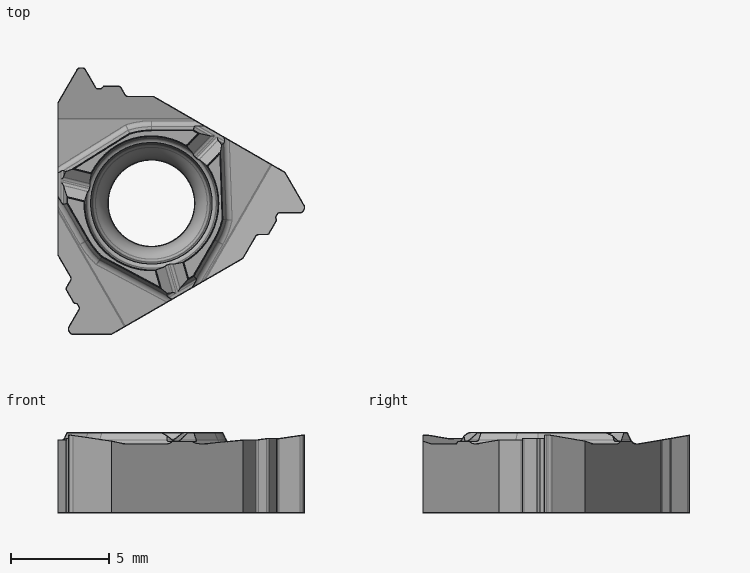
import cadquery as cq
import math

CORNERS = 3
CORNER_STEP = 360 / CORNERS
FAR = 10.85

total_height = 4.1
floor_height = 3.51
land_height = 3.63

face_distance = 4.76
flank_distance = 6.67
tip_reach = 6.89
flank_angle = 60.0
tip_radius = 0.2
tip_flat = 0.08
root_y = 5.83
root_start_x = -2.55
root_radius = 0.08
crest_y = 5.95
crest_end_x = -1.59
crest_radius = 0.16
shoulder_y = 5.44

rake_start = 4.3
rake_angle = 9.7
rake_blend_radius = 0.27

straight_wall = (90.0, 3.72, floor_height, 0.33)
skew_wall = (122.0, 3.6, floor_height, 0.33)
short_wall = (180.0, 4.28, land_height, 0.14)
wall_draft = 25.0
top_chamfer = 0.03
round_end_angle = 109.3

hole_radius = 4.4 / 2
seat_curve_start = 0.75
seat_curve_radius = 2.36
seat_curve_angle = 43.6
seat_corner_radius = 0.46
seat_wall_foot = (3.0, 2.68)
ledge_inner = (3.09, 3.57)
ledge_outer = (3.31, 3.75)
ledge_radius = 0.26
rim_radius = 3.4

groove_direction = 166.0
groove_top_width = 1.46
groove_bottom_width = 0.27
groove_bottom_radius = 0.26


def rotated(point, angle):
    c = math.cos(math.radians(angle))
    s = math.sin(math.radians(angle))
    return (point[0] * c - point[1] * s, point[0] * s + point[1] * c)


def around(solid):
    """The solid repeated at every corner of the insert."""
    copies = [solid.rotate((0, 0, 0), (0, 0, 1), k * CORNER_STEP) for k in range(CORNERS)]
    return copies[0].union(copies[1]).union(copies[2])


def outline_prism(bottom, top):
    """Full side outline between two heights, with the tooth corners rounded."""
    rise = math.tan(math.radians(flank_angle))
    normal_x = math.sin(math.radians(flank_angle))
    normal_y = math.cos(math.radians(flank_angle))
    flank_foot = (-face_distance, (flank_distance - face_distance * normal_x) / normal_y)
    tip_start = (flank_foot[0] + (tip_reach - flank_foot[1]) / rise, tip_reach)
    rounding = tip_radius * math.tan(math.radians(flank_angle / 2))
    tip_end = (tip_start[0] + tip_flat + 2 * rounding, tip_reach)
    crest_start_x = root_start_x + crest_y - root_y
    corner = [
        (flank_foot, 0),
        (tip_start, tip_radius),
        (tip_end, tip_radius),
        ((tip_end[0] + (tip_reach - root_y) / rise, root_y), root_radius),
        ((root_start_x, root_y), 0),
        ((crest_start_x, crest_y), 0),
        ((crest_end_x, crest_y), crest_radius),
        ((crest_end_x + (crest_y - shoulder_y) / rise, shoulder_y), crest_radius),
        (((face_distance - shoulder_y * normal_x) / normal_y, shoulder_y), 0),
    ]
    points = []
    for k in range(CORNERS):
        points += [rotated(p, -k * CORNER_STEP) for p, _ in corner]
    prism = cq.Workplane("XY").workplane(offset=bottom).polyline(points).close().extrude(top - bottom)
    middle = (bottom + top) / 2
    for radius in (tip_radius, root_radius, crest_radius):
        for point, point_radius in corner:
            if point_radius != radius:
                continue
            for k in range(CORNERS):
                x, y = rotated(point, -k * CORNER_STEP)
                prism = prism.edges(cq.selectors.NearestToPointSelector((x, y, middle))).fillet(radius)
    return prism


def rake_wedge():
    """Wedge under the rake surface at the +Y corner, blended into the floor."""
    angle = math.radians(rake_angle)
    blend = rake_blend_radius * math.tan(angle / 2)
    start = (rake_start - blend, floor_height)
    middle = (
        start[0] + rake_blend_radius * math.sin(angle / 2),
        floor_height + rake_blend_radius * (1 - math.cos(angle / 2)),
    )
    end = (rake_start + blend * math.cos(angle), floor_height + blend * math.sin(angle))
    far_height = floor_height + (FAR - rake_start) * math.tan(angle)
    return (
        cq.Workplane("YZ")
        .moveTo(*start)
        .threePointArc(middle, end)
        .lineTo(FAR, far_height)
        .lineTo(FAR, 0)
        .lineTo(start[0], 0)
        .close()
        .extrude(FAR, both=True)
    )


def wall_profile(wall):
    """Space outside a boss wall: drafted wall, rounded foot and flat ground."""
    _, top_distance, foot_height, foot_radius = wall
    draft = math.radians(wall_draft)
    corner = top_distance + (total_height - foot_height) * math.tan(draft)
    turn = math.pi / 2 - draft
    reach = foot_radius * math.tan(turn / 2)
    wall_end = (corner - reach * math.sin(draft), foot_height + reach * math.cos(draft))
    ground_start = (corner + reach, foot_height)
    foot_middle = (
        ground_start[0] - foot_radius * math.sin(turn / 2),
        foot_height + foot_radius * (1 - math.cos(turn / 2)),
    )
    return (
        cq.Workplane("XZ")
        .moveTo(top_distance, total_height)
        .lineTo(*wall_end)
        .threePointArc(foot_middle, ground_start)
        .lineTo(FAR, foot_height)
        .lineTo(FAR, total_height)
        .close()
    )


def boss():
    solid = outline_prism(floor_height, total_height)
    for wall in (straight_wall, skew_wall, short_wall):
        cutter = wall_profile(wall).extrude(FAR, both=True)
        for k in range(CORNERS):
            solid = solid.cut(cutter.rotate((0, 0, 0), (0, 0, 1), wall[0] + k * CORNER_STEP))
    start = straight_wall[0]
    cone = wall_profile(straight_wall).revolve(round_end_angle - start, (0, 0, 0), (0, 1, 0))
    for k in range(CORNERS):
        solid = solid.cut(cone.rotate((0, 0, 0), (0, 0, 1), start + k * CORNER_STEP))
    return solid


def screw_hole():
    """Plain hole, curved screw seat, seat wall, hollow ledge and open rim."""
    angle = math.radians(seat_curve_angle)

    def seat_point(a):
        return (
            hole_radius + seat_curve_radius * (1 - math.cos(a)),
            seat_curve_start + seat_curve_radius * math.sin(a),
        )

    return (
        cq.Workplane("XZ")
        .lineTo(hole_radius, 0)
        .lineTo(hole_radius, seat_curve_start)
        .threePointArc(seat_point(angle / 2), seat_point(angle))
        .radiusArc(seat_wall_foot, -seat_corner_radius)
        .lineTo(*ledge_inner)
        .radiusArc(ledge_outer, -ledge_radius)
        .lineTo(rim_radius, total_height)
        .lineTo(0, total_height)
        .close()
        .revolve(360, (0, 0, 0), (0, 1, 0))
    )


def boss_groove():
    half_top = groove_top_width / 2
    half_bottom = groove_bottom_width / 2
    return (
        cq.Workplane("YZ")
        .polyline([
            (-half_top, total_height),
            (-half_bottom, land_height),
            (half_bottom, land_height),
            (half_top, total_height),
        ])
        .close()
        .extrude(FAR)
        .faces("<Z")
        .edges("|X")
        .fillet(groove_bottom_radius)
        .rotate((0, 0, 0), (0, 0, 1), groove_direction)
    )


rakes = around(rake_wedge()).intersect(outline_prism(0, total_height))
raised_boss = boss().cut(around(boss_groove()))
body = outline_prism(0, floor_height).union(rakes).union(raised_boss).cut(screw_hole())
result = body.faces(">Z").chamfer(top_chamfer)